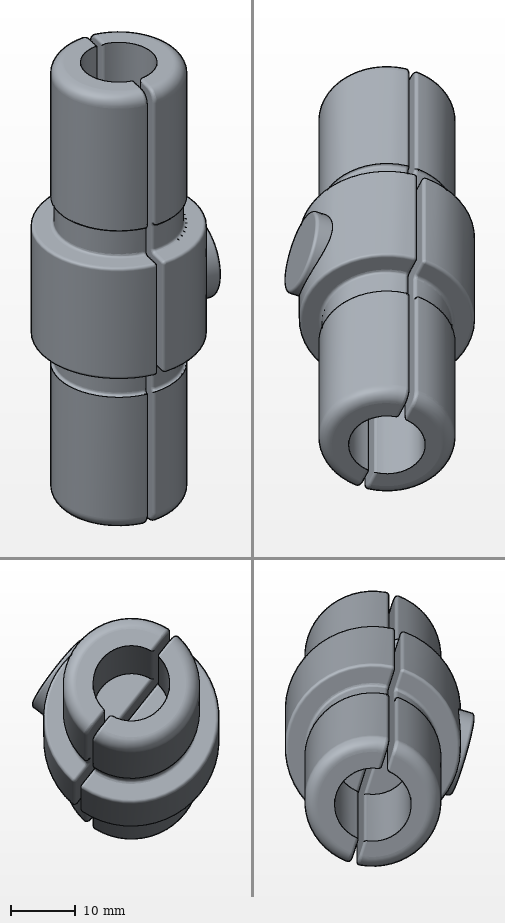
import cadquery as cq
import math

total_height = 78.0
grip_length = 24.0
grip_diameter = 21.0
collar_height = 20.0
collar_diameter = 27.0
neck_diameter = 20.0
bore_diameter = 11.8
bore_depth = grip_length

split_gap = 0.9

edge_radius = 0.5
grip_end_radius = 2.0

button_diameter = 13.2
button_tip = 14.4
button_seat = neck_diameter / 2

half_height = total_height / 2
half_collar = collar_height / 2
grip_start = half_height - grip_length
neck_radius = neck_diameter / 2

neck_blend = (grip_diameter - neck_diameter) / 2


def collar_and_neck():
    """Wide collar with rounded rims on a neck that reaches both grips."""
    collar = cq.Workplane("XY").circle(collar_diameter / 2).extrude(half_collar, both=True)
    collar = collar.edges().fillet(edge_radius)
    neck = cq.Workplane("XY").circle(neck_radius).extrude(grip_start, both=True)
    return collar.union(neck)


def upper_grip():
    """Upper cylindrical grip with a large radius around its free end."""
    grip = cq.Workplane("XY", origin=(0, 0, grip_start)).circle(grip_diameter / 2).extrude(grip_length)
    return grip.faces(">Z").edges().fillet(grip_end_radius)


def blend_ring(shoulder_z, direction):
    """Concave quarter-round from a shoulder to the neck; direction is +1 above it, -1 below it."""
    arc_middle = neck_blend * (1 - math.sqrt(0.5))
    profile = (
        cq.Workplane("XZ")
        .moveTo(neck_radius, shoulder_z)
        .lineTo(neck_radius + neck_blend, shoulder_z)
        .threePointArc(
            (neck_radius + arc_middle, shoulder_z + direction * arc_middle),
            (neck_radius, shoulder_z + direction * neck_blend),
        )
        .close()
    )
    return profile.revolve(360, (0, 0, 0), (0, 1, 0))


def upper_bore():
    """Blind bore going down from the upper end."""
    bore = cq.Workplane("XY", origin=(0, 0, half_height)).circle(bore_diameter / 2)
    return bore.extrude(-bore_depth)


def round_handle():
    """Whole handle before it is split, the same above and below the middle."""
    additions = [upper_grip(), blend_ring(half_collar, 1), blend_ring(grip_start, -1)]
    handle = collar_and_neck()
    for addition in additions:
        handle = handle.union(addition).union(addition.mirror("XY"))
    bore = upper_bore()
    return handle.cut(bore).cut(bore.mirror("XY"))


def half_shell(handle, side):
    """Half of the handle with rounded split edges; side is +1 for the back, -1 for the front."""
    keep = cq.Workplane("XY").box(total_height, total_height, total_height)
    keep = keep.translate((0, side * (total_height + split_gap) / 2, 0))
    split_face = "<Y" if side > 0 else ">Y"
    return handle.intersect(keep).faces(split_face).edges().fillet(edge_radius)


def push_button():
    """Round button with a rounded outer rim."""
    button = cq.Workplane("XZ", origin=(0, button_seat, 0)).circle(button_diameter / 2)
    button = button.extrude(button_seat - button_tip)
    return button.faces(">Y").edges().fillet(edge_radius)


handle = round_handle()
button = push_button()
front_half = half_shell(handle, -1)
back_half = half_shell(handle, 1).cut(button)

bodies = [body.solids().val() for body in (front_half, back_half, button)]
result = cq.Compound.makeCompound(bodies)